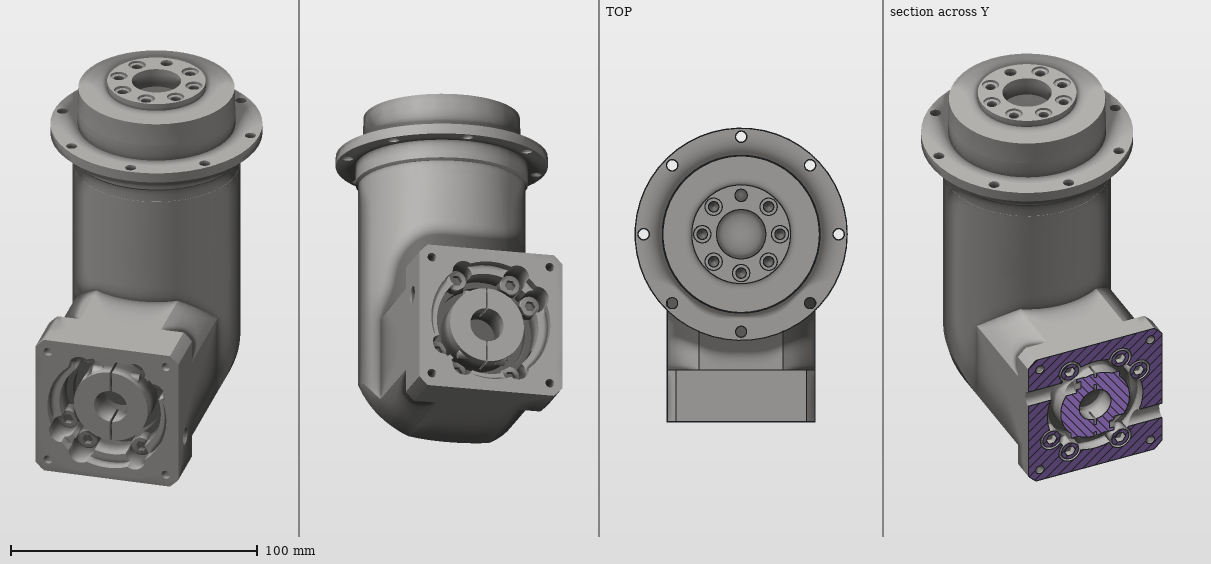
import cadquery as cq
import math


drill_point_angle = 118.0

top_z = 113.5
output_diameter = 40.0
output_height = 3.0
housing_top_diameter = 63.4
housing_diameter = 64.0
taper_height = 9.7
flange_top_z = 94.0
flange_diameter = 86.0
flange_thickness = 4.2
collar_diameter = 70.0
collar_bottom_z = 81.3
collar_chamfer = 1.0
body_diameter = 68.0
cover_joint_z = 76.1
cover_joint_groove = 0.1
elbow_top_z = 46.1

output_bore_diameter = 20.0
output_bore_depth = 8.0
output_hole_circle = 31.5
output_thread_diameter = 4.2
output_thread_depth = 8.0
output_counterbore_diameter = 7.0
output_counterbore_depth = 1.0
dowel_diameter = 5.0
dowel_depth = 6.0
output_hole_count = 8
dowel_index = 2

flange_hole_circle = 79.0
flange_hole_diameter = 4.5
flange_hole_count = 8

square_width = 60.0
arm_corner_radius = 34.5
adapter_rear_y = -55.0
corner_z = -5.6
corner_half_width = 34.1
corner_mitre_y = 10.5
corner_mitre_z = -16.4
corner_upper_slope = 0.9
corner_lower_slope = 0.765
corner_tool_size = 200.0

adapter_thickness = 21.0
adapter_front_y = adapter_rear_y - adapter_thickness
adapter_corner_diameter = 80.0
pilot_diameter = 50.0
pilot_depth = 5.0
adapter_bore_diameter = 42.6
adapter_rear_bore_diameter = 37.6
adapter_floor_thickness = 4.5
motor_hole_circle = 70.0
motor_hole_diameter = 3.6
motor_hole_depth = 12.0
bolt_circle_radius = 22.5
bolt_angles = (30, 60, 120, 210, 240, 300)
bolt_pocket_diameter = 9.6
bolt_head_diameter = 8.5
bolt_head_height = 5.0
bolt_head_chamfer = 0.4
bolt_hex_width = 4.0
bolt_hex_depth = 2.5
access_hole_diameter = 7.0

hub_diameter = 31.0
hub_front_y = -70.0
hub_bore_diameter = 14.0
hub_slit_width = 1.0
hub_slit_depth = 11.0
clamp_screw_y = -65.4
clamp_screw_z = 11.7
clamp_head_diameter = 7.0
clamp_head_outer_x = 8.5
clamp_head_height = 4.0
clamp_shank_diameter = 4.2
clamp_shank_end_x = 11.0
clamp_hex_width = 3.4
clamp_hex_depth = 2.0


def cylinder(diameter, length, start, direction):
    """A round bar from the point `start` along `direction`."""
    return cq.Workplane(
        cq.Solid.makeCylinder(diameter / 2, length, cq.Vector(*start), cq.Vector(*direction))
    )


def drilled_hole(diameter, depth, mouth, direction):
    """A blind hole of full-diameter `depth` from `mouth`, ending in a drill point."""
    axis = cq.Vector(*direction)
    tip_height = diameter / 2 / math.tan(math.radians(drill_point_angle / 2))
    tip_start = cq.Vector(*mouth) + axis * depth
    tip = cq.Solid.makeCone(diameter / 2, 0, tip_height, tip_start, axis)
    return cylinder(diameter, depth, mouth, direction).union(cq.Workplane(tip))


def polar_point(radius, angle):
    """The (right, up) offset of a point on a bolt circle, with the angle in degrees."""
    return (
        radius * math.cos(math.radians(angle)),
        radius * math.sin(math.radians(angle)),
    )


def y_workplane(y):
    """A plane facing -Y, with local X along X and local Y along Z."""
    return cq.Workplane("XZ", origin=(0, y, 0))


def hex_width_across_corners(width):
    return width / math.cos(math.pi / 6)


def make_gearbox():
    output_base_z = top_z - output_height
    taper_bottom_z = output_base_z - taper_height
    flange_bottom_z = flange_top_z - flange_thickness
    body_radius = body_diameter / 2
    collar_radius = collar_diameter / 2
    outline = [
        (0, top_z),
        (output_diameter / 2, top_z),
        (output_diameter / 2, output_base_z),
        (housing_top_diameter / 2, output_base_z),
        (housing_diameter / 2, taper_bottom_z),
        (housing_diameter / 2, flange_top_z),
        (flange_diameter / 2, flange_top_z),
        (flange_diameter / 2, flange_bottom_z),
        (collar_radius, flange_bottom_z),
        (collar_radius, collar_bottom_z + collar_chamfer),
        (collar_radius - collar_chamfer, collar_bottom_z),
        (body_radius - cover_joint_groove, collar_bottom_z),
        (body_radius - cover_joint_groove, cover_joint_z),
        (body_radius, cover_joint_z),
        (body_radius, elbow_top_z),
        (0, elbow_top_z),
    ]
    body = cq.Workplane("XZ").polyline(outline).close().revolve(360, (0, 0), (0, 1))
    down = (0, 0, -1)
    body = body.cut(cylinder(output_bore_diameter, output_bore_depth, (0, 0, top_z), down))

    for index in range(output_hole_count):
        x, y = polar_point(output_hole_circle / 2, index * 360 / output_hole_count)
        mouth = (x, y, top_z)
        if index == dowel_index:
            body = body.cut(cylinder(dowel_diameter, dowel_depth, mouth, down))
        else:
            body = body.cut(drilled_hole(output_thread_diameter, output_thread_depth, mouth, down))
            body = body.cut(
                cylinder(output_counterbore_diameter, output_counterbore_depth, mouth, down)
            )

    for index in range(flange_hole_count):
        x, y = polar_point(flange_hole_circle / 2, index * 360 / flange_hole_count)
        body = body.cut(
            cylinder(flange_hole_diameter, flange_thickness, (x, y, flange_top_z), down)
        )
    return body


def corner_waste(slope):
    """What lies outside one oval barrel that runs along `slope` in the YZ plane."""
    angle = math.atan(slope)
    half_height = corner_mitre_y * math.sin(angle) + (corner_z - corner_mitre_z) * math.cos(angle)
    barrel_plane = cq.Plane(
        origin=(0, 0, corner_z),
        xDir=(1, 0, 0),
        normal=(0, math.cos(angle), math.sin(angle)),
    )
    barrel = (
        cq.Workplane(barrel_plane)
        .ellipse(corner_half_width, half_height)
        .extrude(corner_tool_size / 2, both=True)
    )
    below = (
        cq.Workplane(barrel_plane)
        .center(0, corner_tool_size / 4)
        .rect(corner_tool_size, corner_tool_size / 2)
        .extrude(corner_tool_size / 2, both=True)
    )
    return below.cut(barrel)


def make_elbow():
    half_width = square_width / 2
    up = (0, 0, 1)
    toward_motor = (0, -1, 0)
    upright = cylinder(body_diameter, elbow_top_z, (0, 0, 0), up)
    lower_upright = cylinder(body_diameter, half_width, (0, 0, -half_width), up)
    square_arm = cq.Workplane("XZ").rect(square_width, square_width).extrude(-adapter_rear_y)
    round_bar = cylinder(
        2 * arm_corner_radius,
        body_diameter / 2 - adapter_rear_y,
        (0, body_diameter / 2, 0),
        toward_motor,
    )
    elbow = upright.union(lower_upright.union(square_arm).intersect(round_bar))
    for slope in (corner_upper_slope, corner_lower_slope):
        elbow = elbow.cut(corner_waste(slope))
    return elbow


def make_adapter():
    toward_motor = (0, -1, 0)
    floor_y = adapter_rear_y - adapter_floor_thickness
    open_depth = adapter_thickness - adapter_floor_thickness
    plate = (
        y_workplane(adapter_rear_y)
        .rect(square_width, square_width)
        .extrude(adapter_thickness)
        .intersect(
            cylinder(adapter_corner_diameter, adapter_thickness, (0, adapter_rear_y, 0), toward_motor)
        )
    )

    plate = plate.cut(
        cylinder(pilot_diameter, pilot_depth, (0, adapter_front_y + pilot_depth, 0), toward_motor)
    )
    plate = plate.cut(cylinder(adapter_bore_diameter, open_depth, (0, floor_y, 0), toward_motor))
    rear_bore = cylinder(
        adapter_rear_bore_diameter, adapter_thickness, (0, adapter_rear_y, 0), toward_motor
    )

    for angle in (45, 135, 225, 315):
        x, z = polar_point(motor_hole_circle / 2, angle)
        mouth = (x, adapter_front_y, z)
        plate = plate.cut(drilled_hole(motor_hole_diameter, motor_hole_depth, mouth, (0, 1, 0)))

    access_hole = cylinder(
        access_hole_diameter,
        square_width / 2,
        (-square_width / 2, clamp_screw_y, clamp_screw_z),
        (1, 0, 0),
    )
    for turn in (0, 180):
        plate = plate.cut(access_hole.rotate((0, 0, 0), (0, 1, 0), turn))

    bolt_points = [polar_point(bolt_circle_radius, angle) for angle in bolt_angles]
    for x, z in bolt_points:
        plate = plate.cut(cylinder(bolt_pocket_diameter, open_depth, (x, floor_y, z), toward_motor))
    for x, z in bolt_points:
        head = cylinder(bolt_head_diameter, bolt_head_height, (x, floor_y, z), toward_motor)
        plate = plate.union(head.faces("<Y").chamfer(bolt_head_chamfer))
    sockets = (
        y_workplane(floor_y - bolt_head_height)
        .pushPoints(bolt_points)
        .polygon(6, hex_width_across_corners(bolt_hex_width))
        .extrude(-bolt_hex_depth)
    )
    plate = plate.cut(sockets)
    return plate.cut(rear_bore)


def clamp_screw():
    """Upper clamp screw, head toward -X, lying across the hub."""
    screw_length = clamp_head_outer_x + clamp_shank_end_x
    start = (-clamp_head_outer_x, clamp_screw_y, clamp_screw_z)
    toward_tip = (1, 0, 0)
    socket = (
        cq.Workplane("YZ", origin=start)
        .polygon(6, hex_width_across_corners(clamp_hex_width))
        .extrude(clamp_hex_depth)
    )
    return (
        cylinder(clamp_head_diameter, clamp_head_height, start, toward_tip)
        .union(cylinder(clamp_shank_diameter, screw_length, start, toward_tip))
        .cut(socket)
    )


def make_hub():
    toward_motor = (0, -1, 0)
    hub_length = adapter_rear_y - hub_front_y
    rear_center = (0, adapter_rear_y, 0)
    hub = cylinder(hub_diameter, hub_length, rear_center, toward_motor)
    hub = hub.cut(cylinder(hub_bore_diameter, hub_length, rear_center, toward_motor))
    slit = (
        y_workplane(hub_front_y)
        .rect(hub_slit_width, hub_diameter)
        .extrude(-hub_slit_depth)
    )
    hub = hub.cut(slit)

    screw = clamp_screw()
    head_pocket = cylinder(
        clamp_head_diameter,
        hub_diameter / 2,
        (clamp_head_height - clamp_head_outer_x, clamp_screw_y, clamp_screw_z),
        (-1, 0, 0),
    )
    for turn in (0, 180):
        hub = hub.cut(head_pocket.rotate((0, 0, 0), (0, 1, 0), turn))
        hub = hub.union(screw.rotate((0, 0, 0), (0, 1, 0), turn))
    return hub


gearbox = make_gearbox()
elbow = make_elbow()
adapter = make_adapter()
hub = make_hub()

result = cq.Compound.makeCompound([gearbox.val(), elbow.val(), adapter.val(), hub.val()])